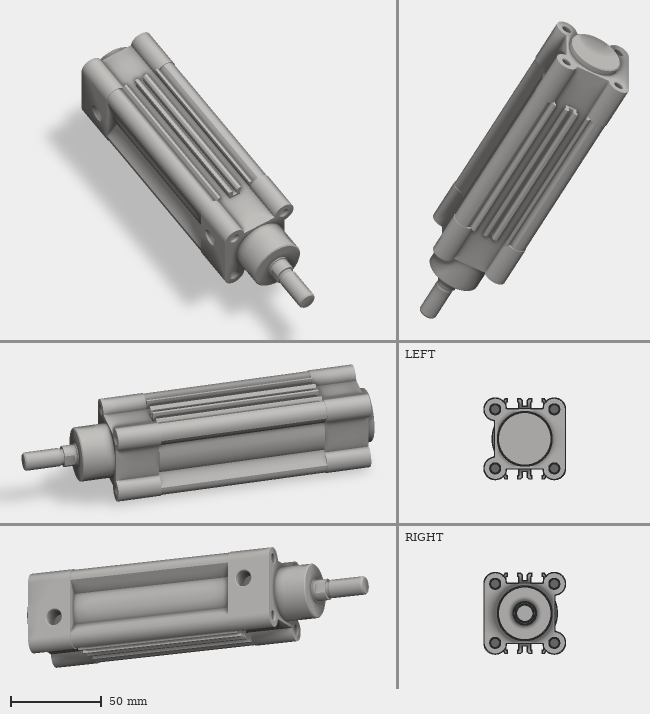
import cadquery as cq


LENGTH = 196.0
REAR_CAP_START = 4.0
TUBE_START = 29.0
TUBE_END = 123.3
FRONT_CAP_END = 147.8
FRONT_BOSS_END = 166.0
WIPER_END = 166.8
WRENCH_FLAT_START = 168.2
NECK_START = 173.9
THREAD_CONE_START = 175.0
THREAD_START = 176.2

CAP_WIDTH = 45.0
BOLT_OFFSET = 16.3
WEB_HALF = 16.7
BOSS_RADIUS = 15.0
BOSS_CHAMFER = 0.5
BOLT_HOLE_RADIUS = 2.5
BOLT_HOLE_CHAMFER = 0.49
BOLT_HOLE_DEPTH = 15.7
PORT_RADIUS = 4.5
PORT_CHAMFER = 0.4
PORT_DEPTH = 11.8
PORT_OFFSET = 5.0
REAR_PORT_X = 19.2
FRONT_PORT_X = 132.3
WIPER_RADIUS = 6.5

TUBE_HALF = 22.1
BARREL_RADIUS = 18.0
SIDE_GROOVE_HALF = 15.0
SIDE_GROOVE_DEPTH = 6.9
SENSOR_SLOT_INNER = 3.3
SENSOR_SLOT_OUTER = 10.2
SENSOR_SLOT_FLOOR = 16.7
LIP_OVERHANG = 0.5
LIP_BOTTOM = 20.2
CENTER_SLOT_HALF = 1.4
CENTER_SLOT_FLOOR = BARREL_RADIUS
CENTER_SLOT_CHAMFER = 1.0
NOTCH_INNER = 10.8
NOTCH_BOTTOM = 12.5
NOTCH_OUTER = SIDE_GROOVE_HALF
NOTCH_DEPTH = NOTCH_OUTER - NOTCH_BOTTOM

ROD_RADIUS = 5.9
WRENCH_FLAT_HALF = 5.0
NECK_RADIUS = 4.5
THREAD_RADIUS = 5.0
THREAD_END_CHAMFER = 1.0
THREAD_END_RADIUS = NECK_RADIUS

CAP_HALF = CAP_WIDTH / 2
LOBE_RADIUS = CAP_HALF - BOLT_OFFSET
TUBE_LENGTH = TUBE_END - TUBE_START
BOLT_POINTS = [(y, z) for y in (-BOLT_OFFSET, BOLT_OFFSET) for z in (-BOLT_OFFSET, BOLT_OFFSET)]


def section_plane(x):
    """Workplane across the axis at x; its local axes are Y and Z."""
    return cq.Workplane("YZ", origin=(x, 0, 0))


def block(x_start, x_end, y_start, y_end, z_half):
    """Box between the given X and Y limits, symmetric in Z."""
    size = (x_end - x_start, y_end - y_start, 2 * z_half)
    return cq.Workplane("XY").box(*size, centered=False).translate((x_start, y_start, -z_half))


def cap_body(x_start, x_end):
    """Four bolt lobes joined by a web, with a full-width flat on the -Y side."""
    lobes = section_plane(x_start).pushPoints(BOLT_POINTS).circle(LOBE_RADIUS).extrude(x_end - x_start)
    web = block(x_start, x_end, -BOLT_OFFSET, WEB_HALF, WEB_HALF)
    flat_side = block(x_start, x_end, -CAP_HALF, -BOLT_OFFSET, BOLT_OFFSET)
    return web.union(lobes).union(flat_side)


def countersunk_hole(plane, radius, depth, chamfer):
    """Blind hole cutter going along the plane normal, with a chamfered mouth."""
    hole = plane.circle(radius).extrude(depth)
    mouth = cq.Solid.makeCone(radius + chamfer, radius, chamfer, plane.plane.origin, plane.plane.zDir)
    return hole.union(cq.Workplane(mouth))


def bolt_holes(x_face, direction):
    """Cutters for the four bolt holes entering a cap's outer face."""
    cutters = cq.Workplane()
    for y, z in BOLT_POINTS:
        plane = cq.Workplane(cq.Plane(origin=(x_face, y, z), normal=(direction, 0, 0)))
        cutters.add(countersunk_hole(plane, BOLT_HOLE_RADIUS, BOLT_HOLE_DEPTH, BOLT_HOLE_CHAMFER))
    return cutters.combine()


def air_port(x, z):
    """Cutter for an air port in the -Y flat."""
    plane = cq.Workplane(cq.Plane(origin=(x, -CAP_HALF, z), xDir=(1, 0, 0), normal=(0, 1, 0)))
    return countersunk_hole(plane, PORT_RADIUS, PORT_DEPTH, PORT_CHAMFER)


def make_rear_cap():
    boss = section_plane(0).circle(BOSS_RADIUS).extrude(REAR_CAP_START)
    boss = boss.faces("<X").chamfer(BOSS_CHAMFER)
    cap = cap_body(REAR_CAP_START, TUBE_START).union(boss)
    cap = cap.cut(bolt_holes(REAR_CAP_START, 1))
    return cap.cut(air_port(REAR_PORT_X, -PORT_OFFSET))


def make_front_cap():
    boss = section_plane(FRONT_CAP_END).circle(BOSS_RADIUS).extrude(FRONT_BOSS_END - FRONT_CAP_END)
    boss = boss.faces(">X").chamfer(BOSS_CHAMFER)
    wiper = section_plane(FRONT_BOSS_END).circle(WIPER_RADIUS).extrude(WIPER_END - FRONT_BOSS_END)
    cap = cap_body(TUBE_END, FRONT_CAP_END).union(boss).union(wiper)
    cap = cap.cut(bolt_holes(FRONT_CAP_END, -1))
    cap = cap.cut(air_port(FRONT_PORT_X, PORT_OFFSET))
    rod_bore = section_plane(TUBE_END).circle(ROD_RADIUS).extrude(WIPER_END - TUBE_END)
    return cap.cut(rod_bore)


def tube_cutter(points):
    """Prism of a (Y, Z) outline, running the whole length of the tube."""
    return section_plane(TUBE_START).polyline(points).close().extrude(TUBE_LENGTH)


def side_groove():
    """Trapezoidal groove in the +Y side, with 45 degree flanks."""
    floor_half = SIDE_GROOVE_HALF - SIDE_GROOVE_DEPTH
    floor_y = TUBE_HALF - SIDE_GROOVE_DEPTH
    return tube_cutter([
        (TUBE_HALF, SIDE_GROOVE_HALF),
        (floor_y, floor_half),
        (floor_y, -floor_half),
        (TUBE_HALF, -SIDE_GROOVE_HALF),
    ])


def sensor_slot():
    """Slot with an overhanging lip on both sides, open at the top."""
    mouth_inner = SENSOR_SLOT_INNER + LIP_OVERHANG
    mouth_outer = SENSOR_SLOT_OUTER - LIP_OVERHANG
    return tube_cutter([
        (SENSOR_SLOT_INNER, SENSOR_SLOT_FLOOR),
        (SENSOR_SLOT_OUTER, SENSOR_SLOT_FLOOR),
        (SENSOR_SLOT_OUTER, LIP_BOTTOM),
        (mouth_outer, LIP_BOTTOM),
        (mouth_outer, TUBE_HALF),
        (mouth_inner, TUBE_HALF),
        (mouth_inner, LIP_BOTTOM),
        (SENSOR_SLOT_INNER, LIP_BOTTOM),
    ])


def lobe_notch():
    """V groove between a corner lobe and the lip of the sensor slot."""
    return tube_cutter([
        (NOTCH_INNER, TUBE_HALF),
        (NOTCH_BOTTOM, TUBE_HALF - NOTCH_DEPTH),
        (NOTCH_OUTER, TUBE_HALF),
    ])


def center_slot():
    """Narrow slot along the middle of the top, with a chamfered mouth."""
    mouth_half = CENTER_SLOT_HALF + CENTER_SLOT_CHAMFER
    chamfer_bottom = TUBE_HALF - CENTER_SLOT_CHAMFER
    return tube_cutter([
        (-CENTER_SLOT_HALF, CENTER_SLOT_FLOOR),
        (CENTER_SLOT_HALF, CENTER_SLOT_FLOOR),
        (CENTER_SLOT_HALF, chamfer_bottom),
        (mouth_half, TUBE_HALF),
        (-mouth_half, TUBE_HALF),
        (-CENTER_SLOT_HALF, chamfer_bottom),
    ])


def make_tube():
    tube = section_plane(TUBE_START).rect(2 * TUBE_HALF, 2 * TUBE_HALF).extrude(TUBE_LENGTH)
    tube = tube.edges("|X").fillet(TUBE_HALF - BOLT_OFFSET)
    groove = side_groove()
    tube = tube.cut(groove).cut(groove.mirror("XZ"))
    tube = tube.union(section_plane(TUBE_START).circle(BARREL_RADIUS).extrude(TUBE_LENGTH))
    for right_cutter in (sensor_slot(), lobe_notch()):
        top_cutters = right_cutter.union(right_cutter.mirror("XZ"))
        tube = tube.cut(top_cutters).cut(top_cutters.mirror("XY"))
    middle = center_slot()
    return tube.cut(middle).cut(middle.mirror("XY"))


def make_rod():
    """Piston rod with wrench flats, an undercut neck and a threaded end."""
    half_section = [
        (TUBE_END, 0),
        (TUBE_END, ROD_RADIUS),
        (NECK_START, ROD_RADIUS),
        (NECK_START, NECK_RADIUS),
        (THREAD_CONE_START, NECK_RADIUS),
        (THREAD_START, THREAD_RADIUS),
        (LENGTH - THREAD_END_CHAMFER, THREAD_RADIUS),
        (LENGTH, THREAD_END_RADIUS),
        (LENGTH, 0),
    ]
    rod = cq.Workplane("XY").polyline(half_section).close().revolve(360, (0, 0, 0), (1, 0, 0))
    flat = block(WRENCH_FLAT_START, NECK_START, WRENCH_FLAT_HALF, ROD_RADIUS, ROD_RADIUS)
    return rod.cut(flat).cut(flat.mirror("XZ"))


rear_cap = make_rear_cap()
tube = make_tube()
front_cap = make_front_cap()
rod = make_rod()

result = cq.Compound.makeCompound([rear_cap.val(), tube.val(), front_cap.val(), rod.val()])